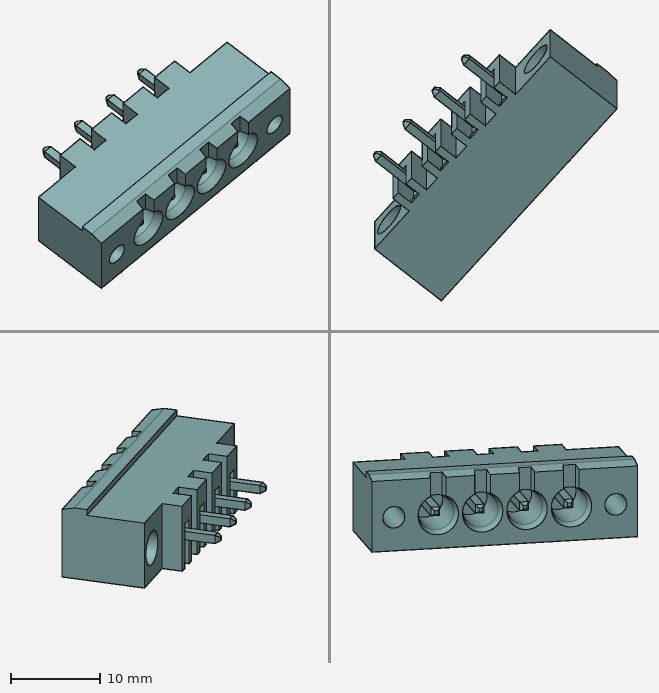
import cadquery as cq
import math


length_x = 16.2
width_y = 30.48
height_z = 8.6

pole_count = 4
pitch = 5.1
axis_z = 3.9
pole_positions = [(i - (pole_count - 1) / 2) * pitch for i in range(pole_count)]
screw_y = (pole_count + 1) / 2 * pitch

terminal_back_x = 4.02
web_back_x = 6.25
flange_back_x = 6.4
shoulder_z = 7.9
ridge_back_x = 13.23
ridge_front_x = 14.7
mouth_top_z = 8.2
terminal_width = 3.23

slot_width = 1.37
slot_top_z = 5.35
sill_height = 0.75
sill_length = 0.3

pin_size = 1.0
pin_tip_size = 0.43
pin_taper = 0.55
pin_front_x = 15.2

socket_back_x = 9.45
flare_depth = 1.13
flare_angle = 14
socket_mouth_radius = 2.32
socket_radius = socket_mouth_radius - flare_depth * math.tan(math.radians(flare_angle))

notch_back_x = length_x - flare_depth
notch_back_width = 1.4
notch_mouth_width = 1.77

screw_diameter = 2.5
counterbore_diameter = 4.0
counterbore_depth = 2.0


def box(x0, x1, y_mid, y_size, z0, z1):
    """Box between two X and two Z limits, centred on y_mid."""
    return (
        cq.Workplane("XY")
        .box(x1 - x0, y_size, z1 - z0, centered=(False, True, False))
        .translate((x0, y_mid, z0))
    )


def cylinder(x0, x1, y_mid, diameter):
    """Cylinder along X on the common axis height."""
    return cq.Workplane("YZ", origin=(x0, y_mid, axis_z)).circle(diameter / 2).extrude(x1 - x0)


def make_housing():
    """Body with the latching ridge on top, and terminals standing out at the back."""
    profile = [
        (flange_back_x, 0),
        (length_x, 0),
        (length_x, mouth_top_z),
        (ridge_front_x, height_z),
        (ridge_back_x, height_z),
        (ridge_back_x, shoulder_z),
        (flange_back_x, shoulder_z),
    ]
    housing = cq.Workplane("XZ").polyline(profile).close().extrude(width_y / 2, both=True)
    web_width = pole_positions[-1] - pole_positions[0]
    housing = housing.union(box(web_back_x, flange_back_x, 0, web_width, 0, shoulder_z))
    for y in pole_positions:
        housing = housing.union(box(terminal_back_x, flange_back_x, y, terminal_width, 0, shoulder_z))
    return housing


def make_wire_slot(y):
    """Slot open to the back and underside, with a low sill left at its inner end."""
    slot = box(terminal_back_x, web_back_x, y, slot_width, 0, slot_top_z)
    sill = box(web_back_x - sill_length, web_back_x, y, slot_width, 0, sill_height)
    return slot.cut(sill)


def make_socket(y):
    """Round plug socket, its flared mouth and the notch through the wall above it."""
    bore = cylinder(socket_back_x, notch_back_x, y, 2 * socket_radius)
    flare = (
        cq.Workplane("YZ", origin=(notch_back_x, y, axis_z))
        .circle(socket_radius)
        .workplane(offset=flare_depth)
        .circle(socket_mouth_radius)
        .loft()
    )
    notch_outline = [
        (notch_back_x, y - notch_back_width / 2),
        (length_x, y - notch_mouth_width / 2),
        (length_x, y + notch_mouth_width / 2),
        (notch_back_x, y + notch_back_width / 2),
    ]
    notch = (
        cq.Workplane("XY", origin=(0, 0, axis_z))
        .polyline(notch_outline)
        .close()
        .extrude(height_z - axis_z)
    )
    return bore.union(flare).union(notch)


def make_pin_tip(y, base_x, offset_x):
    """Blunt pyramid growing by offset_x from the square at base_x."""
    return (
        cq.Workplane("YZ", origin=(base_x, y, axis_z))
        .rect(pin_size, pin_size)
        .workplane(offset=offset_x)
        .rect(pin_tip_size, pin_tip_size)
        .loft()
    )


def make_pin(y):
    """Square pin along X with a blunt pyramid at each end."""
    half = pin_size / 2
    shank = box(pin_taper, pin_front_x - pin_taper, y, pin_size, axis_z - half, axis_z + half)
    back_tip = make_pin_tip(y, pin_taper, -pin_taper)
    front_tip = make_pin_tip(y, pin_front_x - pin_taper, pin_taper)
    return shank.union(back_tip).union(front_tip)


def make_screw_hole(y):
    """Through hole counterbored from the back."""
    bore = cylinder(flange_back_x, length_x, y, screw_diameter)
    counterbore = cylinder(flange_back_x, flange_back_x + counterbore_depth, y, counterbore_diameter)
    return bore.union(counterbore)


result = make_housing()
for pole_y in pole_positions:
    result = result.cut(make_wire_slot(pole_y))
    result = result.cut(make_socket(pole_y))
    result = result.union(make_pin(pole_y))
for hole_y in (-screw_y, screw_y):
    result = result.cut(make_screw_hole(hole_y))